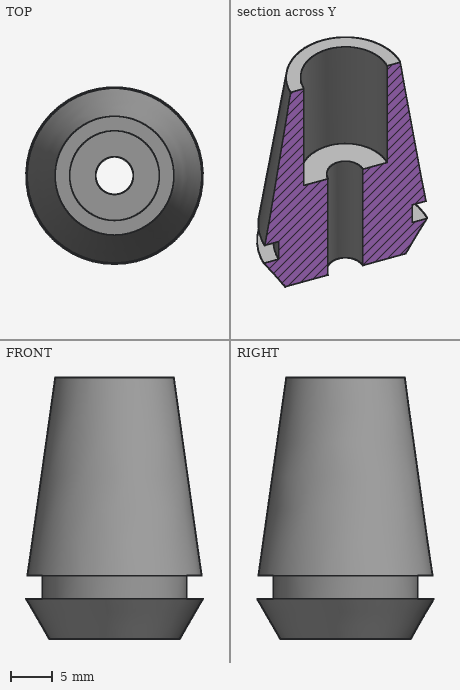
import cadquery as cq
import math

total_height = 31.5
collar_height = 4.86
groove_width = 2.79
groove_top = collar_height + groove_width

collar_radius = 10.65
collar_half_angle = 30.0
groove_radius = 8.7
body_base_radius = 10.5
body_half_angle = 8.0

hole_radius = 2.25
bore_radius = 5.4
bore_floor = total_height / 2


def taper_inset(height, half_angle):
    """Radius lost by a cone over the given height."""
    return height * math.tan(math.radians(half_angle))


def make_profile():
    """Half section on the YZ plane, with the axis along Z and material on the -Y side."""
    bottom_radius = collar_radius - taper_inset(collar_height, collar_half_angle)
    top_radius = body_base_radius - taper_inset(total_height - groove_top, body_half_angle)
    return (
        cq.Workplane("YZ")
        .moveTo(-hole_radius, 0)
        .lineTo(-bottom_radius, 0)
        .lineTo(-collar_radius, collar_height)
        .lineTo(-groove_radius, collar_height)
        .lineTo(-groove_radius, groove_top)
        .lineTo(-body_base_radius, groove_top)
        .lineTo(-top_radius, total_height)
        .lineTo(-bore_radius, total_height)
        .lineTo(-bore_radius, bore_floor)
        .lineTo(-hole_radius, bore_floor)
        .close()
    )


result = make_profile().revolve(360, (0, 0, 0), (0, 1, 0))